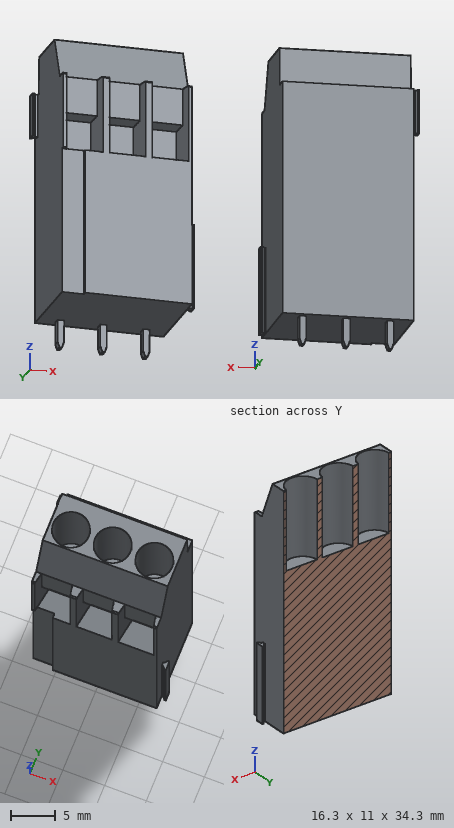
import cadquery as cq

total_height = 34.3
pin_length = 3.22
housing_height = total_height - pin_length
pole_count = 3
pole_pitch = 4.998
housing_width = pole_count * pole_pitch
housing_depth = 10.95

shoulder_height = 26.0
shoulder_depth = 1.37
top_front = 3.4
top_back = 9.33
back_ledge_height = 26.8
back_ledge_front = 9.5
rib_chamfer = 0.17

hole_diameter = 4.25
hole_y = 5.7
hole_depth = 10.3

pocket_width = 4.25
pocket_bottom = 16.98
pocket_step_height = 21.7
pocket_depth = 2.85
pocket_taper = 0.21

recess_width = 2.55
recess_depth = 0.5
recess_height = pocket_bottom + pocket_taper * recess_depth

key_width = 1.1
key_neck_width = 0.45
key_lip = 0.17
left_key_reach = 0.7
left_key_neck = 0.3
left_key_y = 10.0
left_key_bottom = 21.78
right_key_reach = 0.62
right_key_neck = 0.17
right_key_y = 1.8
right_key_height = 9.95

pin_width = 0.75
pin_thickness = 0.95
pin_y = 9.67
pin_tip_length = 0.62
pin_tip_width = 0.3

pole_centres = [(pole + 0.5) * pole_pitch for pole in range(pole_count)]


def housing_block():
    """Side profile swept across the full width."""
    profile = [
        (0, 0),
        (housing_depth, 0),
        (housing_depth, back_ledge_height),
        (back_ledge_front, back_ledge_height),
        (top_back, housing_height),
        (top_front, housing_height),
        (shoulder_depth, shoulder_height),
        (rib_chamfer, shoulder_height),
        (0, shoulder_height - rib_chamfer),
    ]
    return cq.Workplane("YZ").polyline(profile).close().extrude(housing_width)


def screw_hole(centre_x):
    """Blind round hole from the top face."""
    return (
        cq.Workplane("XY", origin=(centre_x, hole_y, housing_height - hole_depth))
        .circle(hole_diameter / 2)
        .extrude(hole_depth)
    )


def pocket_section(centre_x, depth, top, top_taper):
    """Outline of a wire pocket at a given depth behind the front face."""
    inset = pocket_taper * depth
    half_width = pocket_width / 2 - inset
    corners = [
        (centre_x - half_width, depth, pocket_bottom + inset),
        (centre_x + half_width, depth, pocket_bottom + inset),
        (centre_x + half_width, depth, top - top_taper),
        (centre_x - half_width, depth, top - top_taper),
    ]
    return cq.Wire.makePolygon([cq.Vector(*corner) for corner in corners], close=True)


def wire_pocket(centre_x):
    """Tapered pocket: a shallow part open at the top and a deeper part below the step."""
    shallow = cq.Solid.makeLoft(
        [
            pocket_section(centre_x, 0, shoulder_height, 0),
            pocket_section(centre_x, shoulder_depth, shoulder_height, 0),
        ],
        True,
    )
    step_taper = pocket_taper * (pocket_depth - shoulder_depth)
    deep = cq.Solid.makeLoft(
        [
            pocket_section(centre_x, shoulder_depth, pocket_step_height, 0),
            pocket_section(centre_x, pocket_depth, pocket_step_height, step_taper),
        ],
        True,
    )
    return cq.Workplane(shallow).union(cq.Workplane(deep))


def front_recess():
    """Shallow step along the left edge of the front face, up to the sloping pocket floor."""
    return cq.Workplane("XY").box(recess_width, recess_depth, recess_height, centered=False)


def dovetail_key(wall_x, outward, centre_y, reach, neck, bottom, height):
    """Flared key standing on a side wall; outward is -1 (left) or +1 (right)."""
    half_neck = key_neck_width / 2
    half_width = key_width / 2
    neck_x = wall_x + outward * neck
    lip_x = wall_x + outward * (reach - key_lip)
    outer_x = wall_x + outward * reach
    outline = [
        (wall_x, centre_y - half_neck),
        (neck_x, centre_y - half_neck),
        (lip_x, centre_y - half_width),
        (outer_x, centre_y - half_width),
        (outer_x, centre_y + half_width),
        (lip_x, centre_y + half_width),
        (neck_x, centre_y + half_neck),
        (wall_x, centre_y + half_neck),
    ]
    return cq.Workplane("XY", origin=(0, 0, bottom)).polyline(outline).close().extrude(height)


def make_housing():
    """Terminal block housing with its holes, pockets and keys."""
    body = housing_block().cut(front_recess())
    for centre_x in pole_centres:
        body = body.cut(screw_hole(centre_x)).cut(wire_pocket(centre_x))
    left_key_height = back_ledge_height - left_key_bottom
    body = body.union(
        dovetail_key(0, -1, left_key_y, left_key_reach, left_key_neck, left_key_bottom, left_key_height)
    )
    return body.union(
        dovetail_key(housing_width, 1, right_key_y, right_key_reach, right_key_neck, 0, right_key_height)
    )


def make_pin(centre_x):
    """Flat solder pin under the housing, narrowing in X at its tip."""
    tip_start = pin_tip_length - pin_length
    outline = [
        (centre_x - pin_width / 2, 0),
        (centre_x + pin_width / 2, 0),
        (centre_x + pin_width / 2, tip_start),
        (centre_x + pin_tip_width / 2, -pin_length),
        (centre_x - pin_tip_width / 2, -pin_length),
        (centre_x - pin_width / 2, tip_start),
    ]
    return (
        cq.Workplane("XZ", origin=(0, pin_y, 0))
        .polyline(outline)
        .close()
        .extrude(pin_thickness / 2, both=True)
    )


housing = make_housing()
pins = [make_pin(centre_x) for centre_x in pole_centres]

result = cq.Compound.makeCompound([housing.val(), *[pin.val() for pin in pins]])